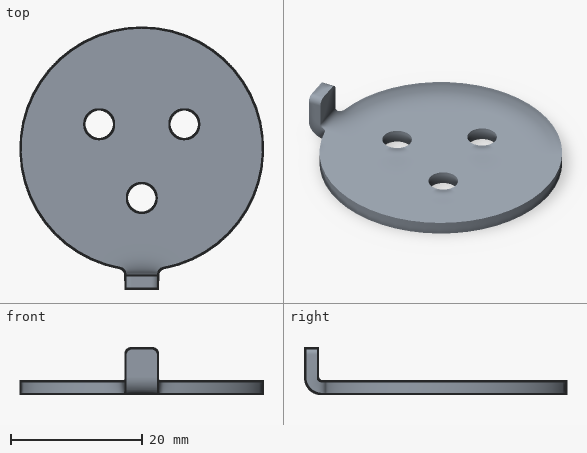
import cadquery as cq
import math

disc_diameter = 37.0
length_y = 39.82
height = 7.0
thickness = 2.0

hole_diameter = 4.5
hole_circle_radius = 7.5
hole_angles = (30, 150, 270)

tab_width = 5.0
tab_corner_radius = 1.0
bend_inner_radius = 0.5
root_fillet_radius = 1.0
flare_steps = 4

disc_radius = disc_diameter / 2
tab_front_y = disc_radius - length_y
bend_outer_radius = bend_inner_radius + thickness
bend_start_y = tab_front_y + bend_outer_radius
half_tab = tab_width / 2
fillet_center_x = half_tab + root_fillet_radius
fillet_end_y = -math.sqrt((disc_radius + root_fillet_radius) ** 2 - fillet_center_x**2)


def make_disc():
    return cq.Workplane("XY").circle(disc_radius).extrude(thickness)


def bend_section(angle, half_width):
    """Rectangular section of the bend, at an angle in radians past its start."""
    corners = []
    for radius, x in (
        (bend_inner_radius, -half_width),
        (bend_inner_radius, half_width),
        (bend_outer_radius, half_width),
        (bend_outer_radius, -half_width),
    ):
        y = bend_start_y - radius * math.sin(angle)
        z = bend_outer_radius - radius * math.cos(angle)
        corners.append(cq.Vector(x, y, z))
    return cq.Wire.makePolygon(corners, close=True)


def half_width_at(distance):
    """Half the strip width, at a distance back from where the root fillets end."""
    fillet_reach = math.sqrt(root_fillet_radius**2 - distance**2)
    return half_tab + root_fillet_radius - fillet_reach


def make_root():
    """Flat root of the tab, flared into the disc rim and cut off at the bend."""
    center_distance = disc_radius + root_fillet_radius
    rim_x = fillet_center_x * disc_radius / center_distance
    rim_y = fillet_end_y * disc_radius / center_distance
    start_x = half_width_at(bend_start_y - fillet_end_y)
    start_angle = math.atan2(bend_start_y - fillet_end_y, start_x - fillet_center_x)
    rim_angle = math.atan2(rim_y - fillet_end_y, rim_x - fillet_center_x)
    mid_angle = (start_angle + rim_angle) / 2
    mid_x = fillet_center_x + root_fillet_radius * math.cos(mid_angle)
    mid_y = fillet_end_y + root_fillet_radius * math.sin(mid_angle)
    return (
        cq.Workplane("XY")
        .moveTo(-start_x, bend_start_y)
        .lineTo(start_x, bend_start_y)
        .threePointArc((mid_x, mid_y), (rim_x, rim_y))
        .lineTo(0, 0)
        .lineTo(-rim_x, rim_y)
        .threePointArc((-mid_x, mid_y), (-start_x, bend_start_y))
        .close()
        .extrude(thickness)
    )


def make_bend():
    """Bend with the ends of the root fillets wrapped around its first part."""
    wrapped_length = bend_start_y - fillet_end_y
    wrap_angle = wrapped_length / bend_inner_radius
    sections = []
    for step in range(flare_steps + 1):
        fraction = step / flare_steps
        half_width = half_width_at(wrapped_length * (1 - fraction))
        sections.append(bend_section(wrap_angle * fraction, half_width))
    flare = cq.Workplane(obj=cq.Solid.makeLoft(sections))

    plain_bend = cq.Solid.revolve(
        bend_section(wrap_angle, half_tab),
        [],
        90 - math.degrees(wrap_angle),
        cq.Vector(-0.4, bend_start_y, bend_outer_radius),
        cq.Vector(-0.8, bend_start_y, bend_outer_radius),
    )
    return flare.union(cq.Workplane(obj=plain_bend))


def make_upright():
    """Upright end of the tab with rounded top corners."""
    upright = cq.Workplane("XY").box(
        tab_width, thickness, height - bend_outer_radius, centered=(True, False, False)
    )
    upright = upright.edges("|Y and >Z").fillet(tab_corner_radius)
    return upright.translate((0, tab_front_y, bend_outer_radius))


def make_holes():
    centers = [
        (
            hole_circle_radius * math.cos(math.radians(angle)),
            hole_circle_radius * math.sin(math.radians(angle)),
        )
        for angle in hole_angles
    ]
    return cq.Workplane("XY").pushPoints(centers).circle(hole_diameter / 2).extrude(thickness)


result = (
    make_disc()
    .union(make_root())
    .union(make_bend())
    .union(make_upright())
    .cut(make_holes())
)